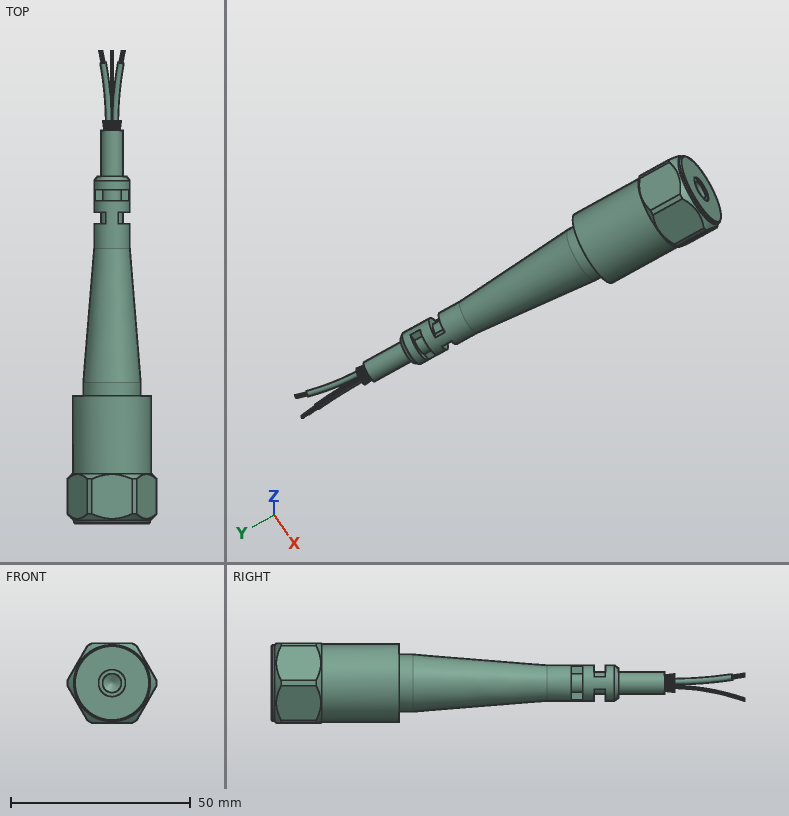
import cadquery as cq
import math


hex_across_flats = 22.2
hex_turned_diameter = 24.9
hex_top = 14.0
nose_diameter = 21.3
nose_length = 0.9
nose_edge_chamfer = 0.4
housing_diameter = 21.8
housing_top = 35.5

recess_diameter = 7.5
recess_depth = 0.4
hole_diameter = 5.3
hole_depth = 9.2
drill_point_angle = 118

boot_base_diameter = 16.0
boot_taper_start = 39.3
boot_tip_diameter = 10.0
boot_taper_end = 76.5
boot_top = 96.5
boot_chamfer_length = 1.2
boot_chamfer_width = 0.9
slot_width = 3.2
slot_bottoms = (83.4, 89.7)
slot_web_width = 3.4

jacket_diameter = 6.2
jacket_top = 109.3
shield_diameter = 4.5
shield_strand_count = 64
shield_flare_diameter = 5.1
shield_top = 112.0

cable_tip = 131.5
wire_root_y = 110.8
insulation_diameter = 1.7
insulation_top = 128.1
conductor_diameter = 1.01
drain_diameter = 0.8
strand_count = 12
wire_root_x = 0.9
wire_root_z = 0.4
wire_tip_x = 3.2
wire_tip_z = 2.2
drain_root_z = -1.0
drain_tip_z = -4.6
tip_overrun = 0.7


def turned(*profile):
    """Revolve a closed profile of (radius, y) points about the Y axis."""
    return cq.Workplane("XY").polyline(profile).close().revolve(360, (0, 0, 0), (0, 1, 0))


def across_y(height):
    """Workplane that crosses the axis at a Y position and faces +Y; its local x is Z and its local y is X."""
    return cq.Workplane("ZX", origin=(0, height, 0))


def rod(diameter, bottom, top):
    """Cylinder on the Y axis between two Y positions."""
    return across_y(bottom).circle(diameter / 2).extrude(top - bottom)


def strand_outline(plane, diameter, count):
    """Outline of a ring of round strands: one outward arc per strand."""
    step = 2 * math.pi / count
    bulge = diameter / 2
    valley = bulge * (1 - math.sin(step / 2) / 2)
    outline = plane.moveTo(valley, 0)
    for strand in range(count):
        crest = (strand + 0.5) * step
        end = (strand + 1) % count * step
        outline = outline.threePointArc(
            (bulge * math.cos(crest), bulge * math.sin(crest)),
            (valley * math.cos(end), valley * math.sin(end)),
        )
    return outline.close()


def make_housing():
    turned_radius = hex_turned_diameter / 2
    nose_radius = nose_diameter / 2
    top_radius = housing_diameter / 2
    hex_envelope = turned(
        (0, 0),
        (nose_radius - nose_edge_chamfer, 0),
        (nose_radius, nose_edge_chamfer),
        (nose_radius, nose_length),
        (turned_radius, nose_length + turned_radius - nose_radius),
        (turned_radius, hex_top - (turned_radius - top_radius)),
        (top_radius, hex_top),
        (0, hex_top),
    )
    across_corners = hex_across_flats / math.cos(math.radians(30))
    hexagon = across_y(0).transformed(rotate=(0, 0, 90)).polygon(6, across_corners).extrude(hex_top)
    barrel = rod(housing_diameter, hex_top, housing_top)

    hole_radius = hole_diameter / 2
    recess_radius = recess_diameter / 2
    point_length = hole_radius / math.tan(math.radians(drill_point_angle / 2))
    mounting_hole = turned(
        (0, 0),
        (recess_radius, 0),
        (recess_radius, recess_depth),
        (hole_radius, recess_depth),
        (hole_radius, hole_depth),
        (0, hole_depth + point_length),
    )
    return hexagon.intersect(hex_envelope).union(barrel).cut(mounting_hole)


def make_boot():
    base_radius = boot_base_diameter / 2
    tip_radius = boot_tip_diameter / 2
    bore_radius = jacket_diameter / 2
    boot = turned(
        (bore_radius, housing_top),
        (base_radius, housing_top),
        (base_radius, boot_taper_start),
        (tip_radius, boot_taper_end),
        (tip_radius, boot_top - boot_chamfer_length),
        (tip_radius - boot_chamfer_width, boot_top),
        (bore_radius, boot_top),
    )
    web_sizes = ((slot_web_width, boot_tip_diameter), (boot_tip_diameter, slot_web_width))
    for bottom, (size_x, size_z) in zip(slot_bottoms, web_sizes):
        ring = rod(boot_tip_diameter, bottom, bottom + slot_width)
        webs = across_y(bottom).rect(size_z, size_x).extrude(slot_width)
        boot = boot.cut(ring.cut(webs))
    return boot


def make_jacket():
    return rod(jacket_diameter, housing_top, jacket_top).cut(rod(shield_diameter, housing_top, jacket_top))


def bend_path(root, tip, top):
    """Parabola that leaves the root along +Y, aims at the tip and stops at Y = top."""
    root_x, root_z = root
    tip_x, tip_z = tip
    fraction = (top - wire_root_y) / (cable_tip - wire_root_y)
    return cq.Workplane(
        cq.Edge.makeBezier([
            cq.Vector(root_x, wire_root_y, root_z),
            cq.Vector(root_x, (wire_root_y + top) / 2, root_z),
            cq.Vector(root_x + (tip_x - root_x) * fraction**2, top, root_z + (tip_z - root_z) * fraction**2),
        ])
    )


def wire_plane(root):
    """Workplane centred on the (x, z) root of a wire, facing +Y."""
    root_x, root_z = root
    return cq.Workplane("ZX", origin=(root_x, wire_root_y, root_z))


def make_conductor(diameter, root, tip):
    """Bare stranded conductor, cut square at the cable tip."""
    path = bend_path(root, tip, cable_tip + tip_overrun)
    bundle = strand_outline(wire_plane(root), diameter, strand_count).sweep(path)
    overrun = across_y(cable_tip).circle(housing_diameter / 2).extrude(2 * tip_overrun)
    return bundle.cut(overrun)


def make_insulation(root, tip):
    path = bend_path(root, tip, insulation_top)
    return wire_plane(root).circle(insulation_diameter / 2).sweep(path)


def make_core():
    """Shielded core of the cable: braid, two insulated wires and a bare drain wire."""
    core = rod(shield_diameter, housing_top, jacket_top)
    braid = strand_outline(across_y(jacket_top), shield_diameter, shield_strand_count)
    flare = braid.workplane(offset=shield_top - jacket_top)
    flare = strand_outline(flare, shield_flare_diameter, shield_strand_count)
    core = core.union(flare.loft(ruled=True))
    for side in (-1, 1):
        root = (side * wire_root_x, wire_root_z)
        tip = (side * wire_tip_x, wire_tip_z)
        core = core.union(make_conductor(conductor_diameter, root, tip)).union(make_insulation(root, tip))
    return core.union(make_conductor(drain_diameter, (0, drain_root_z), (0, drain_tip_z)))


housing = make_housing()
boot = make_boot()
jacket = make_jacket()
core = make_core()

result = cq.Compound.makeCompound([housing.val(), boot.val(), jacket.val(), core.val()])